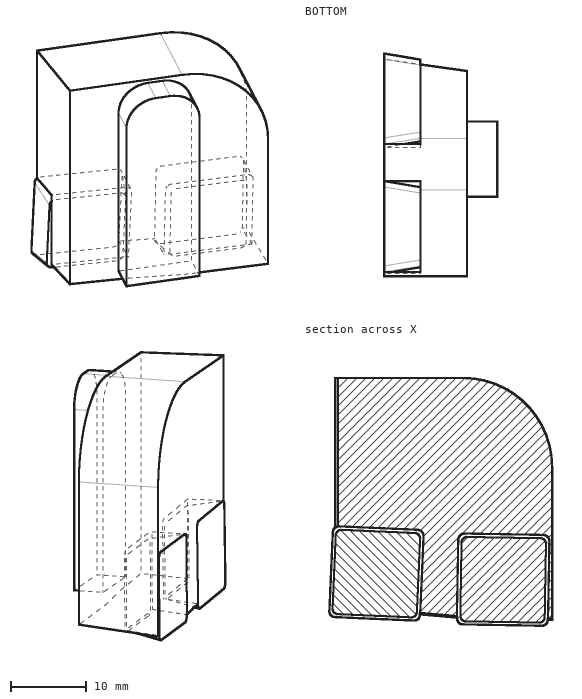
import cadquery as cq
import math


PLATE_THICKNESS = 11.0
PLATE_DEPTH = 28.7
PLATE_TOP = 32.8
BACK_CORNER_RADIUS = 11.8
FRONT_RELIEF_ANGLE = 8.0
BOTTOM_RELIEF_ANGLE = 4.5

BACK_SEAT_Z = 0.8
STEP_BACK_Y = 17.32
STEP_FRONT_Y = 10.5
STEP_FRONT_Z = 1.57

BOSS_LENGTH = 4.0
BOSS_WIDTH = 10.0
BOSS_HEIGHT = 28.5
BOSS_CORNER_RADIUS = 4.0
BOSS_TOP_GAP = 0.5
BOSS_BACK_GAP = 10.5

INSERT_SIDE = 12.0
INSERT_THICKNESS = 4.8
INSERT_CORNER_RADIUS = 0.8
INSERT_RELIEF_ANGLE = 9.3
FRONT_INSERT_TILT = 2.5
BACK_INSERT_TILT = 1.0

INSERT_SEATS = [
    (5.45, 6.92, FRONT_INSERT_TILT),
    (22.2, 6.1, BACK_INSERT_TILT),
]


def rise(run, angle):
    """Height gained over a run at an angle in degrees."""
    return run * math.tan(math.radians(angle))


def plate_outline(x):
    """Closed plate outline at distance x from the flat face."""
    front_y = rise(x, FRONT_RELIEF_ANGLE)
    lift = rise(x, BOTTOM_RELIEF_ANGLE)
    front_z = STEP_FRONT_Z + rise(STEP_FRONT_Y - front_y, FRONT_INSERT_TILT)
    step_back_z = BACK_SEAT_Z + rise(PLATE_DEPTH - STEP_BACK_Y, BACK_INSERT_TILT)
    arc_centre_y = PLATE_DEPTH - BACK_CORNER_RADIUS
    arc_centre_z = PLATE_TOP - BACK_CORNER_RADIUS
    arc_reach = BACK_CORNER_RADIUS * math.sqrt(0.5)
    sketch = (
        cq.Workplane("YZ", origin=(x, 0, 0))
        .moveTo(front_y, front_z + lift)
        .lineTo(front_y, PLATE_TOP)
        .lineTo(arc_centre_y, PLATE_TOP)
        .threePointArc(
            (arc_centre_y + arc_reach, arc_centre_z + arc_reach),
            (PLATE_DEPTH, arc_centre_z),
        )
        .lineTo(PLATE_DEPTH, BACK_SEAT_Z + lift)
        .lineTo(STEP_BACK_Y, step_back_z + lift)
        .lineTo(STEP_FRONT_Y, STEP_FRONT_Z + lift)
        .close()
    )
    return sketch.val()


def make_plate():
    """Plate whose front and bottom faces lean back from the flat face."""
    outlines = [plate_outline(0), plate_outline(PLATE_THICKNESS)]
    return cq.Workplane(cq.Solid.makeLoft(outlines, True))


def make_boss():
    """Block with its two upper corners rounded."""
    centre_y = PLATE_DEPTH - BOSS_BACK_GAP - BOSS_WIDTH / 2
    centre_z = PLATE_TOP - BOSS_TOP_GAP - BOSS_HEIGHT / 2
    return (
        cq.Workplane("YZ", origin=(PLATE_THICKNESS, centre_y, centre_z))
        .rect(BOSS_WIDTH, BOSS_HEIGHT)
        .extrude(BOSS_LENGTH)
        .edges("|X and >Z")
        .fillet(BOSS_CORNER_RADIUS)
    )


def square_outline(side, x):
    """Round-cornered square centred on the X axis at distance x from the flat face."""
    half = side / 2 - INSERT_CORNER_RADIUS
    core = cq.Workplane("YZ", origin=(x, 0, 0)).rect(2 * half, 2 * half)
    return core.offset2D(INSERT_CORNER_RADIUS).val()


def square_block(floor_side, centre_y, centre_z, tilt):
    """Tilted block from the insert's square cutting face to a square of floor_side."""
    outlines = [square_outline(INSERT_SIDE, 0), square_outline(floor_side, INSERT_THICKNESS)]
    return (
        cq.Workplane(cq.Solid.makeLoft(outlines, True))
        .rotate((0, 0, 0), (1, 0, 0), -tilt)
        .translate((0, centre_y, centre_z))
    )


def make_insert(seat):
    """Cutting insert with relief on all four sides and a constant corner radius."""
    floor_side = INSERT_SIDE - 2 * rise(INSERT_THICKNESS, INSERT_RELIEF_ANGLE)
    return square_block(floor_side, *seat)


def make_pocket(seat):
    """Straight-walled pocket with the outline of the insert's cutting face."""
    return square_block(INSERT_SIDE, *seat)


holder = make_plate().union(make_boss())
for seat in INSERT_SEATS:
    holder = holder.cut(make_pocket(seat))

inserts = [make_insert(seat).val() for seat in INSERT_SEATS]

result = cq.Compound.makeCompound([*holder.solids().vals(), *inserts])